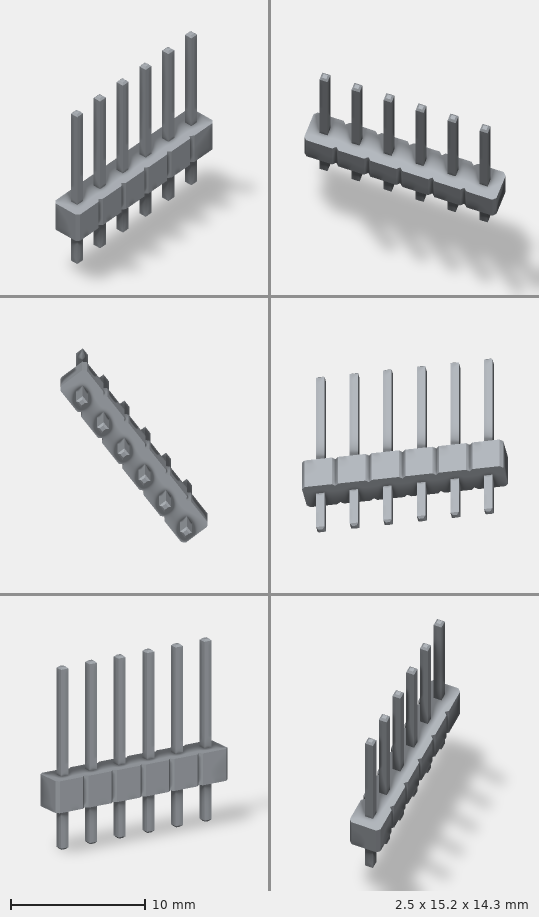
import cadquery as cq

pin_count = 6
row_length = 15.24
pitch = row_length / pin_count

body_width = 2.5
body_height = 2.5
corner_cut = 0.25

pin_side = 0.64
total_height = 14.3
pin_below_body = 3.29
tip_bevel = 0.15


def body_segment(y_center):
    """One-pin block; neighbouring bevels meet to form the V notches."""
    return (
        cq.Workplane("XY")
        .center(0, y_center)
        .rect(body_width, pitch)
        .extrude(body_height)
        .edges("|Z")
        .chamfer(corner_cut)
    )


def pin(y_center):
    """Square pin through the body, bevelled at both tips."""
    return (
        cq.Workplane("XY", origin=(0, y_center, -pin_below_body))
        .rect(pin_side, pin_side)
        .extrude(total_height)
        .faces("<Z or >Z")
        .chamfer(tip_bevel)
    )


result = cq.Workplane("XY")
for index in range(pin_count):
    pin_y = (index - (pin_count - 1) / 2) * pitch
    result = result.union(body_segment(pin_y)).union(pin(pin_y))

result = result.clean()